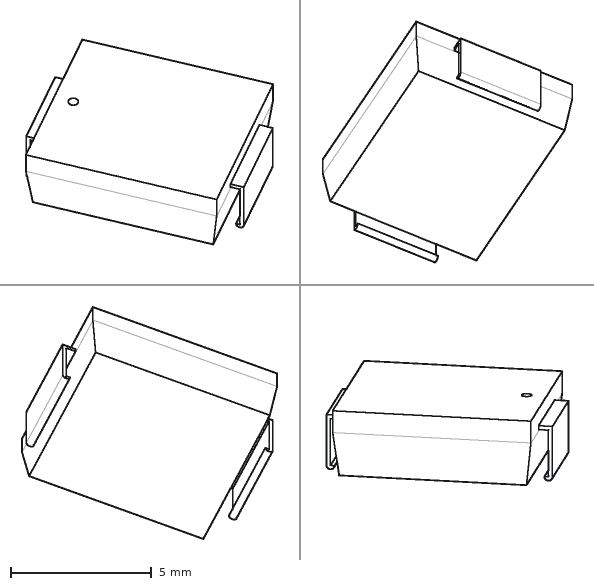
import cadquery as cq

overall_length = 8.15
overall_height = 2.64

housing_length = 7.15
housing_width = 6.25
housing_bottom = 0.195
band_height = 0.8
taper_inset = 0.195

lead_width = 3.21
lead_thickness = 0.15
lead_drop = 0.62
foot_radius = lead_thickness

mark_diameter = 0.36
mark_depth = 0.08
mark_x = -2.85

lead_top = overall_height - lead_drop
band_bottom = overall_height - band_height


def make_mark():
    """Shallow disc whose top face is level with the housing top."""
    return (
        cq.Workplane("XY", origin=(mark_x, 0, overall_height - mark_depth))
        .circle(mark_diameter / 2)
        .extrude(mark_depth)
    )


def make_housing():
    """Rectangular block tapering towards its bottom, with a recess for the mark."""
    band = (
        cq.Workplane("XY", origin=(0, 0, band_bottom))
        .rect(housing_length, housing_width)
        .extrude(band_height)
    )
    tapered_part = (
        cq.Workplane("XY", origin=(0, 0, housing_bottom))
        .rect(housing_length - 2 * taper_inset, housing_width - 2 * taper_inset)
        .workplane(offset=band_bottom - housing_bottom)
        .rect(housing_length, housing_width)
        .loft(ruled=True)
    )
    return band.union(tapered_part).cut(make_mark())


def make_lead(side):
    """Bent lead on the -X (side = -1) or +X (side = 1) end of the housing."""
    wall_x = side * housing_length / 2
    outer_x = side * overall_length / 2
    inner_x = outer_x - side * lead_thickness
    foot_end_x = outer_x - side * 2 * foot_radius
    return (
        cq.Workplane("XZ")
        .moveTo(wall_x, lead_top)
        .lineTo(outer_x, lead_top)
        .lineTo(outer_x, foot_radius)
        .threePointArc((inner_x, 0), (foot_end_x, foot_radius))
        .lineTo(inner_x, foot_radius)
        .lineTo(inner_x, lead_top - lead_thickness)
        .lineTo(wall_x, lead_top - lead_thickness)
        .close()
        .extrude(lead_width / 2, both=True)
    )


housing = make_housing()
mark = make_mark()
leads = [make_lead(side) for side in (-1, 1)]

result = cq.Compound.makeCompound([housing.val(), mark.val(), *[lead.val() for lead in leads]])